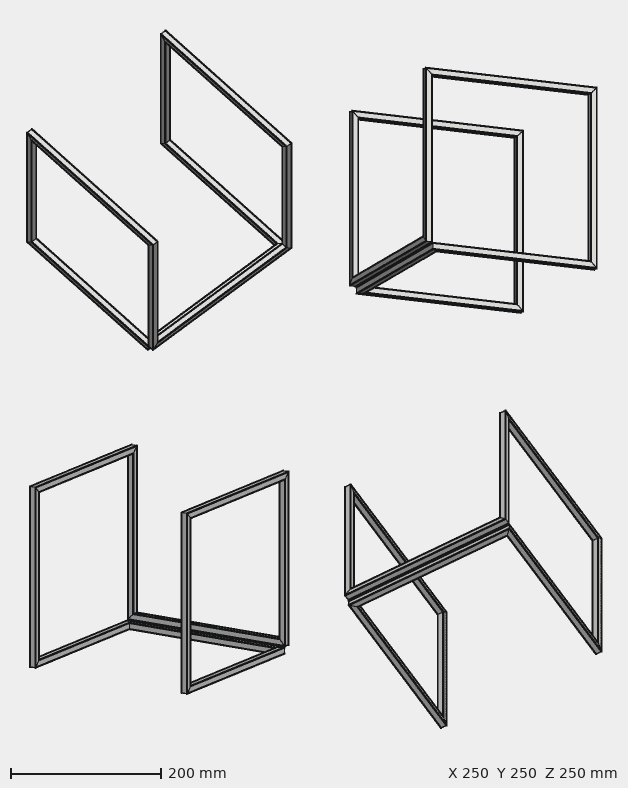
import cadquery as cq
OVERALL_SIZE = 250.0
BAR_WIDTH = 10.0
EDGE_RADIUS = 1.0
CHANNEL_INSET = 1.0
CHANNEL_DEPTH = 0.5
CHANNEL_TAPER = 0.5

HALF_WIDTH = BAR_WIDTH / 2
NEAR = HALF_WIDTH
FAR = OVERALL_SIZE - HALF_WIDTH
STEPPED_IN = FAR - BAR_WIDTH
STEPPED_UP = NEAR + BAR_WIDTH

LOOP_CORNERS = [
    cq.Vector(FAR, NEAR, STEPPED_UP),
    cq.Vector(FAR, NEAR, FAR),
    cq.Vector(NEAR, NEAR, FAR),
    cq.Vector(NEAR, NEAR, NEAR),
    cq.Vector(STEPPED_IN, NEAR, NEAR),
    cq.Vector(STEPPED_IN, FAR, NEAR),
    cq.Vector(NEAR, FAR, NEAR),
    cq.Vector(NEAR, FAR, FAR),
    cq.Vector(FAR, FAR, FAR),
    cq.Vector(FAR, FAR, STEPPED_UP),
]


def channel(plane, length):
    """Shallow tapered channel along the local +Y face of a bar."""
    mouth = HALF_WIDTH - CHANNEL_INSET
    floor = mouth - CHANNEL_TAPER
    floor_height = HALF_WIDTH - CHANNEL_DEPTH
    outline = [
        (-mouth, HALF_WIDTH),
        (-floor, floor_height),
        (floor, floor_height),
        (mouth, HALF_WIDTH),
    ]
    return cq.Workplane(plane).polyline(outline).close().extrude(length)


def square_bar(start, direction, length):
    """Square-ended bar with rounded long edges and a channel along all four faces."""
    across = cq.Vector(direction.y, direction.z, direction.x)
    plane = cq.Plane(origin=start, xDir=across, normal=direction)
    bar = cq.Workplane(plane).rect(BAR_WIDTH, BAR_WIDTH).extrude(length)
    bar = bar.edges(cq.selectors.ParallelDirSelector(direction)).fillet(EDGE_RADIUS)
    for quarter_turn in range(4):
        bar = bar.cut(channel(plane.rotated((0, 0, 90 * quarter_turn)), length))
    return bar


def mitre_waste(corner, outward):
    """Block beyond the mitre plane through a corner, to be cut off the end of a bar."""
    side = 4 * BAR_WIDTH
    return cq.Workplane(cq.Plane(origin=corner, normal=outward)).rect(side, side).extrude(side)


def mitred_bar(before, start, end, after):
    """Bar from start to end, mitred to meet the bars that go to the corners before and after."""
    direction = (end - start).normalized()
    towards_before = (before - start).normalized()
    towards_after = (after - end).normalized()
    overrun = direction * HALF_WIDTH
    length = (end - start).Length + BAR_WIDTH
    bar = square_bar(start - overrun, direction, length)
    bar = bar.cut(mitre_waste(start, towards_before - direction))
    return bar.cut(mitre_waste(end, towards_after + direction))


corner_count = len(LOOP_CORNERS)
bars = []
for index in range(corner_count):
    neighbours = [LOOP_CORNERS[(index + step) % corner_count] for step in (-1, 0, 1, 2)]
    bars.append(mitred_bar(*neighbours).val())

result = cq.Compound.makeCompound(bars)